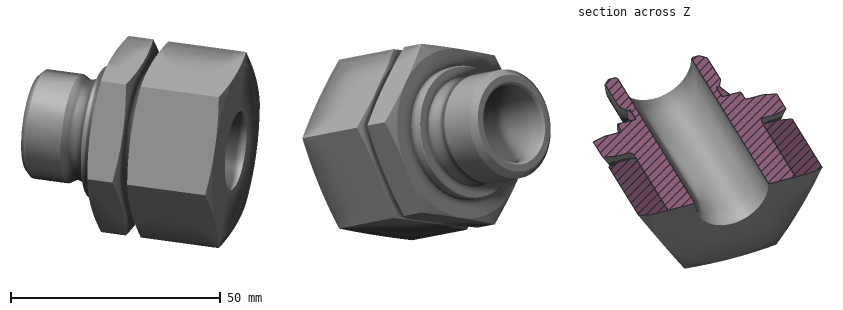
import cadquery as cq
import math

thread_end = 10.2
relief_start = 11.95
relief_bottom = 12.5
collar_start = 16.0
hex_start = 19.0
hex_end = 27.0
nut_start = 29.0
total_length = 50.0

stud_radius = 13.2
stud_chamfer = 1.5
relief_edge_radius = 12.2
relief_radius = 12.1
relief_half_width = relief_bottom - relief_start
relief_depth = relief_edge_radius - relief_radius
relief_arc_radius = (relief_half_width**2 + relief_depth**2) / (2 * relief_depth)
bore_radius = 9.5
bore_chamfer = 0.5

seal_seat_radius = 11.2
seal_outer_radius = stud_radius

collar_radius = 16.0
collar_chamfer = 0.2
across_flats = 41.0
across_corners = across_flats / math.cos(math.radians(30))
body_hex_chamfer = 0.9
nut_chamfer = 0.8
shank_radius = 16.55
shank_fillet_length = 1.1
shank_fillet_radius = 1.25


def revolve_about_x(profile):
    """Turn a closed profile, drawn as (x, radius), about the X axis."""
    return profile.close().revolve(360, (0, 0, 0), (1, 0, 0))


def chamfered_hexagon(start, end, chamfer):
    """Hexagonal prism along X with its corners turned down to the flats at both ends."""
    flat_radius = across_flats / 2
    corner_radius = across_corners / 2
    prism = cq.Workplane("YZ").workplane(offset=start).polygon(6, across_corners).extrude(end - start)
    envelope = revolve_about_x(
        cq.Workplane("XY")
        .moveTo(start, 0)
        .lineTo(start, flat_radius)
        .lineTo(start + chamfer, corner_radius)
        .lineTo(end - chamfer, corner_radius)
        .lineTo(end, flat_radius)
        .lineTo(end, 0)
    )
    return prism.intersect(envelope)


def make_stud():
    """Threaded stud end with its relief, the seal seat and the collar."""
    return revolve_about_x(
        cq.Workplane("XY")
        .moveTo(0, 0)
        .lineTo(0, stud_radius - stud_chamfer)
        .lineTo(stud_chamfer, stud_radius)
        .lineTo(thread_end, stud_radius)
        .lineTo(relief_start, relief_edge_radius)
        .radiusArc((relief_bottom, relief_radius), -relief_arc_radius)
        .lineTo(relief_bottom, seal_seat_radius)
        .lineTo(collar_start, seal_seat_radius)
        .lineTo(collar_start, collar_radius - collar_chamfer)
        .lineTo(collar_start + collar_chamfer, collar_radius)
        .lineTo(hex_start, collar_radius)
        .lineTo(hex_start, 0)
    )


def make_shank():
    """Shank that carries the nut, flared by a concave fillet where it meets the hexagon."""
    fillet_end = hex_end + shank_fillet_length
    fillet_center_radius = shank_radius + shank_fillet_radius

    def fillet_point(distance):
        """Point on the fillet at an axial distance before its end on the shank."""
        drop = math.sqrt(shank_fillet_radius**2 - distance**2)
        return (fillet_end - distance, fillet_center_radius - drop)

    return revolve_about_x(
        cq.Workplane("XY")
        .moveTo(hex_end, 0)
        .lineTo(*fillet_point(shank_fillet_length))
        .threePointArc(fillet_point(shank_fillet_length / 2), fillet_point(0))
        .lineTo(total_length, shank_radius)
        .lineTo(total_length, 0)
    )


def make_bore():
    """Through bore, chamfered at the stud end."""
    return revolve_about_x(
        cq.Workplane("XY")
        .moveTo(0, 0)
        .lineTo(0, bore_radius + bore_chamfer)
        .lineTo(bore_chamfer, bore_radius)
        .lineTo(total_length, bore_radius)
        .lineTo(total_length, 0)
    )


def make_fitting():
    """One-piece fitting: stud and collar, body hexagon and shank, bored through."""
    body_hexagon = chamfered_hexagon(hex_start, hex_end, body_hex_chamfer)
    return make_stud().union(body_hexagon).union(make_shank()).cut(make_bore()).solids()


def make_seal():
    """Seal ring that starts flush in the thread relief and widens as a cone to the collar face."""
    return revolve_about_x(
        cq.Workplane("XY")
        .moveTo(relief_bottom, seal_seat_radius)
        .lineTo(relief_bottom, relief_radius)
        .radiusArc((relief_bottom + relief_half_width, relief_edge_radius), -relief_arc_radius)
        .lineTo(collar_start, seal_outer_radius)
        .lineTo(collar_start, seal_seat_radius)
    )


def make_nut():
    """Hexagonal nut with a through hole that matches the shank."""
    hexagon = chamfered_hexagon(nut_start, total_length, nut_chamfer)
    nut_length = total_length - nut_start
    hole = cq.Workplane("YZ").workplane(offset=nut_start).circle(shank_radius).extrude(nut_length)
    return hexagon.cut(hole).solids()


fitting = make_fitting()
seal = make_seal()
nut = make_nut()

result = cq.Compound.makeCompound([fitting.val(), seal.val(), nut.val()])